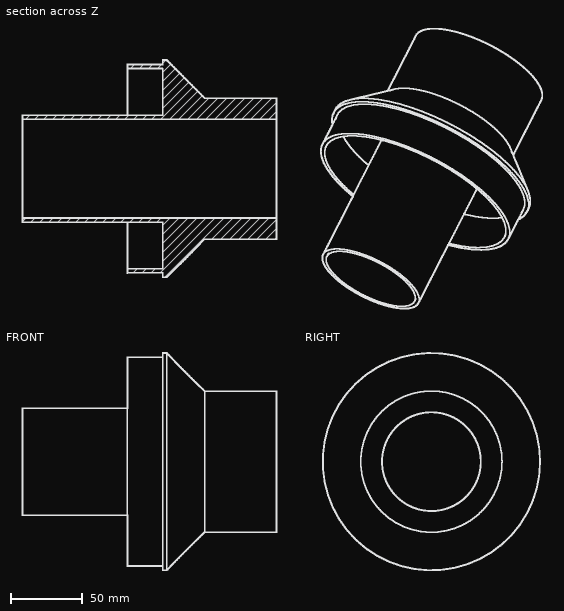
import cadquery as cq

total_length = 177.5
sleeve_start = 73.3
rim_start = 98.0
rim_width = 2.8
rim_end = rim_start + rim_width
cone_end = 127.2
recess_depth = rim_start - sleeve_start

wall = 3.0
pipe_radius = 37.5
bore_radius = pipe_radius - wall
sleeve_radius = 73.0
recess_radius = sleeve_radius - wall
rim_radius = 76.0
hub_radius = 49.3


def cylinder(start, length, radius):
    """Solid cylinder along X."""
    return cq.Workplane("YZ", origin=(start, 0, 0)).circle(radius).extrude(length)


outer_profile = [
    (0, 0),
    (0, pipe_radius),
    (sleeve_start, pipe_radius),
    (sleeve_start, sleeve_radius),
    (rim_start, sleeve_radius),
    (rim_start, rim_radius),
    (rim_end, rim_radius),
    (cone_end, hub_radius),
    (total_length, hub_radius),
    (total_length, 0),
]
body = cq.Workplane("XY").polyline(outer_profile).close().revolve(360, (0, 0, 0), (1, 0, 0))

recess = cylinder(sleeve_start, recess_depth, recess_radius).cut(
    cylinder(sleeve_start, recess_depth, pipe_radius)
)

bore = cylinder(0, total_length, bore_radius)

result = body.cut(recess).cut(bore)